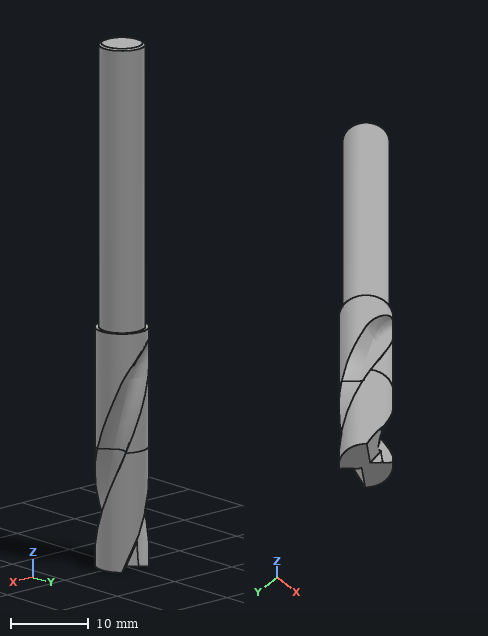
import cadquery as cq
import math

total_length = 70.0
cutter_length = 16.0
collar_top = 32.0
flute_full_top = 25.35
flute_end = 30.6

body_radius = 3.5
shank_radius = 3.0
chamfer_radial = 0.35
chamfer_height = 0.2

flute_count = 2
flute_pitch_angle = 360.0 / flute_count
flute_lead = 52.5
flute_start_angle = 115.0
floor_distance = 1.6
floor_inner_end = -1.0
wall_rim = (3.4, 0.6)
outer_reach = 3.9

runout_lift = 1.8
runout_angle = 23.0
runout_steps = 5
runout_power = 1.7

gash_height = 4.9
gash_root = (0.1, -0.7)
gash_long_arm = (-3.2, -3.2)
gash_short_arm = (2.95, -3.7)
gash_outer = (0.0, -6.3)
gash_slope = (0.42, -0.2)


def helix_angle(height):
    return 360.0 * height / flute_lead


def flute_profile(height, angle, lift):
    """Groove section at a height, turned about Z and moved outwards by lift."""
    shift_x = lift * math.cos(math.radians(runout_angle))
    shift_y = -lift * math.sin(math.radians(runout_angle))
    return (
        cq.Workplane("XY")
        .moveTo(floor_distance, -outer_reach)
        .lineTo(floor_distance, floor_inner_end)
        .tangentArcPoint(wall_rim, relative=False)
        .lineTo(outer_reach, wall_rim[1])
        .lineTo(outer_reach, -outer_reach)
        .close()
        .translate((shift_x, shift_y, height))
        .rotate((0, 0, 0), (0, 0, 1), angle)
    )


def full_flute():
    """Helical groove of constant depth."""
    section = cq.Workplane("XY").add(flute_profile(0, flute_start_angle, 0).val())
    return section.toPending().twistExtrude(flute_full_top, helix_angle(flute_full_top))


def flute_runout():
    """Upper end of a groove, rising to the surface along the same helix."""
    wires = []
    for step in range(runout_steps + 1):
        fraction = step / runout_steps
        height = flute_full_top + fraction * (flute_end - flute_full_top)
        angle = flute_start_angle + helix_angle(height)
        profile = flute_profile(height, angle, runout_lift * fraction**runout_power)
        wires.append(profile.val())
    return cq.Workplane(cq.Solid.makeLoft(wires))


def end_gash():
    """Oblique notch at the foot of the flute that faces -Y there."""
    corners = [gash_root, gash_long_arm, gash_outer, gash_short_arm]
    top_shift = (gash_slope[0] * gash_height, gash_slope[1] * gash_height, gash_height)
    foot = cq.Workplane("XY").polyline(corners).close()
    top = foot.translate(top_shift)
    return cq.Workplane(cq.Solid.makeLoft([foot.val(), top.val()], True))


def cut_around(body, tool):
    """Cut one copy of the tool per flute, evenly spaced about Z."""
    for index in range(flute_count):
        body = body.cut(tool.rotate((0, 0, 0), (0, 0, 1), index * flute_pitch_angle))
    return body


def make_cutter():
    """Lower body: fluted cutting tip with a gash at the foot of each flute."""
    body = cq.Workplane("XY").circle(body_radius).extrude(cutter_length)
    body = cut_around(body, full_flute())
    return cut_around(body, end_gash())


def make_holder():
    """Upper body: collar where the flutes run out, and the plain shank above."""
    outline = [
        (0, cutter_length),
        (body_radius, cutter_length),
        (body_radius, collar_top),
        (shank_radius, collar_top),
        (shank_radius, total_length - chamfer_height),
        (shank_radius - chamfer_radial, total_length),
        (0, total_length),
    ]
    body = cq.Workplane("XZ").polyline(outline).close().revolve(360, (0, 0, 0), (0, 1, 0))
    body = cut_around(body, full_flute())
    return cut_around(body, flute_runout())


cutter = make_cutter()
holder = make_holder()
result = cq.Compound.makeCompound([cutter.val(), holder.val()])